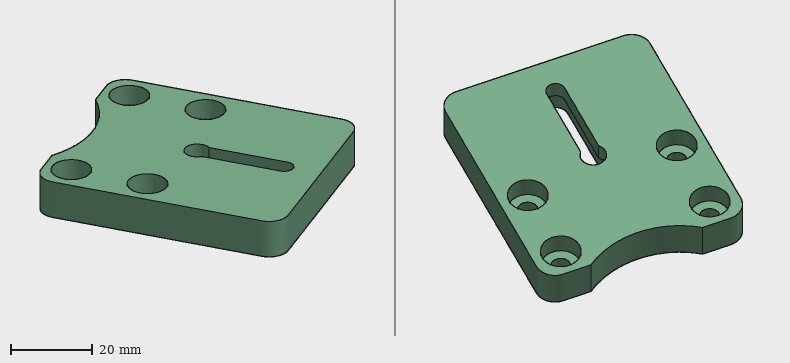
import cadquery as cq

length = 65.0
width = 55.0
thickness = 10.0
corner_radius = 5.0

scoop_radius = 25.0
scoop_depth = 5.0

hole_diameter = 5.0
counterbore_diameter = 2 * hole_diameter
counterbore_depth = 5.5
hole_pitch_x = 20.0
hole_pitch_y = 40.05
hole_edge_distance = 7.0

entry_diameter = 6.5
slot_width = 4.8
slot_travel = 22.8
lip_thickness = 4.55


def plate():
    body = cq.Workplane("XY").box(length, width, thickness, centered=(True, True, False))
    return body.edges("|Z").fillet(corner_radius)


def scoop():
    center_x = -length / 2 + scoop_depth - scoop_radius
    return cq.Workplane("XY").center(center_x, 0).circle(scoop_radius).extrude(thickness)


def slot_cutter(slot_size, bottom, top):
    """Slot tool from the entry centre to the slot end, rounded at both ends."""
    return (
        cq.Workplane("XY", origin=(slot_travel / 2, 0, bottom))
        .slot2D(slot_travel + slot_size, slot_size)
        .extrude(top - bottom)
    )


def keyhole():
    entry = cq.Workplane("XY").circle(entry_diameter / 2).extrude(thickness)
    neck = slot_cutter(slot_width, 0, thickness)
    head_channel = slot_cutter(entry_diameter, 0, thickness - lip_thickness)
    return entry.union(neck).union(head_channel)


def drill_screw_holes(body):
    first_column_x = -length / 2 + hole_edge_distance
    centers = [
        (x, y)
        for x in (first_column_x, first_column_x + hole_pitch_x)
        for y in (-hole_pitch_y / 2, hole_pitch_y / 2)
    ]
    return (
        body.faces(">Z")
        .workplane(origin=(0, 0, thickness))
        .pushPoints(centers)
        .cboreHole(hole_diameter, counterbore_diameter, counterbore_depth)
    )


result = drill_screw_holes(plate()).cut(scoop()).cut(keyhole())